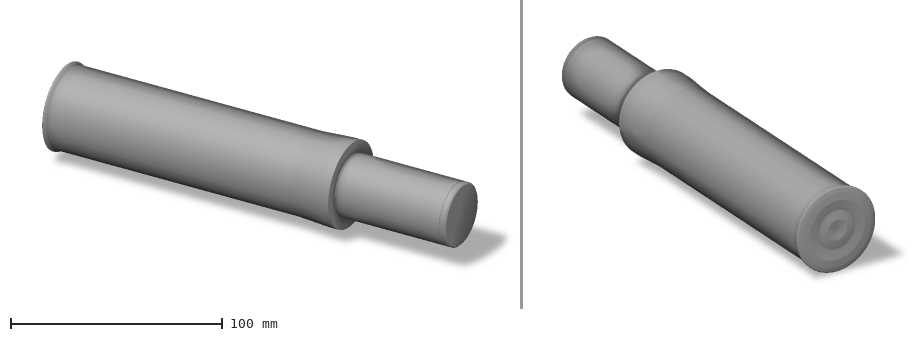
import cadquery as cq

total_length = 216.0

barrel_radius = 42.0 / 2
rim_radius = 44.0 / 2
collar_radius = rim_radius
rim_front = 0.6
rim_start = 1.0
rim_end = 1.7
barrel_start = 3.0
rim_front_radius = 21.4
flare_start = 134.0
flare_end = 151.0
housing_end = 156.0

dimple_radius = 5.5
valley_radius = 10.2
crest_radius = 15.3
shoulder_radius = 19.2
corrugation_depth = 0.9
shoulder_setback = 0.2

shaft_radius = 32.0 / 2
groove_radius = 31.5 / 2
groove_width = 0.9
neck_groove_start = housing_end + 0.6
end_groove_start = total_length - 3.5
end_chamfer = 0.6


def turn(profile):
    """Revolve a closed profile, given as axial position and radius, about the X axis."""
    return profile.close().revolve(360, (0, 0, 0), (1, 0, 0))


def make_housing():
    """Barrel with a corrugated front, a front rim and a smooth flare up to the rear collar."""
    profile = (
        cq.Workplane("XY")
        .moveTo(corrugation_depth, 0)
        .lineTo(0, dimple_radius)
        .lineTo(corrugation_depth, valley_radius)
        .lineTo(0, crest_radius)
        .lineTo(shoulder_setback, shoulder_radius)
        .lineTo(rim_front, rim_front_radius)
        .lineTo(rim_start, rim_radius)
        .lineTo(rim_end, rim_radius)
        .lineTo(barrel_start, barrel_radius)
        .lineTo(flare_start, barrel_radius)
        .spline([(flare_end, collar_radius)], tangents=[(1, 0), (1, 0)], includeCurrent=True)
        .lineTo(housing_end, collar_radius)
        .lineTo(housing_end, 0)
    )
    return turn(profile)


def add_groove(profile, start):
    """Continue the stem profile along the shaft to a groove and through it."""
    end = start + groove_width
    return (
        profile.lineTo(start, shaft_radius)
        .lineTo(start, groove_radius)
        .lineTo(end, groove_radius)
        .lineTo(end, shaft_radius)
    )


def make_stem():
    """Chamfered shaft seated on the rear face of the housing, with a groove near each end."""
    profile = cq.Workplane("XY").moveTo(housing_end, 0).lineTo(housing_end, shaft_radius)
    for groove_start in (neck_groove_start, end_groove_start):
        profile = add_groove(profile, groove_start)
    profile = (
        profile.lineTo(total_length - end_chamfer, shaft_radius)
        .lineTo(total_length, shaft_radius - end_chamfer)
        .lineTo(total_length, 0)
    )
    return turn(profile)


housing = make_housing()
stem = make_stem()
result = cq.Compound.makeCompound([housing.val(), stem.val()])